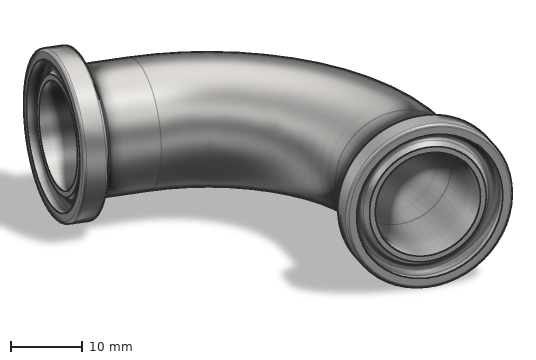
import cadquery as cq
import math


overall_length = 53.75
tube_diameter = 19.05
bore_diameter = 15.75
flange_diameter = 25.0
bend_radius = 28.6

rim_height = 3.65
cone_angle = math.radians(20)
edge_radius = 0.45

groove_outer_diameter = 21.9
groove_round_radius = 0.85
groove_wall_angle = math.radians(55)
land_diameter = 17.5
land_recess = 0.75

tube_radius = tube_diameter / 2
bore_radius = bore_diameter / 2
flange_radius = flange_diameter / 2
leg_length = overall_length - flange_radius - bend_radius
cone_top = rim_height + (flange_radius - tube_radius) * math.tan(cone_angle)


def ferrule_body():
    """Solid ferrule on the Y axis, face at Y = 0, tube end at Y = leg_length."""
    profile = (
        cq.Workplane("XY")
        .lineTo(flange_radius, 0)
        .lineTo(flange_radius, rim_height)
        .lineTo(tube_radius, cone_top)
        .lineTo(tube_radius, leg_length)
        .lineTo(0, leg_length)
        .close()
    )
    body = profile.revolve(360, (0, 0, 0), (0, 1, 0))
    flange_edges = cq.selectors.BoxSelector(
        (-flange_diameter, -edge_radius, -flange_diameter),
        (flange_diameter, cone_top + edge_radius, flange_diameter),
    )
    return body.edges(flange_edges).edges("%CIRCLE").fillet(edge_radius)


def gasket_groove():
    """Recess to be cut from the ferrule face: the land, its cone and the groove around it."""
    outer_radius = groove_outer_diameter / 2
    land_radius = land_diameter / 2
    round_centre = outer_radius - groove_round_radius
    tangent_radius = round_centre - groove_round_radius * math.sin(groove_wall_angle)
    tangent_depth = land_recess + (tangent_radius - land_radius) * math.tan(groove_wall_angle)
    centre_depth = tangent_depth - groove_round_radius * math.cos(groove_wall_angle)
    profile = (
        cq.Workplane("XY")
        .lineTo(0, land_recess)
        .lineTo(land_radius, land_recess)
        .lineTo(tangent_radius, tangent_depth)
        .threePointArc(
            (round_centre, centre_depth + groove_round_radius),
            (outer_radius, centre_depth),
        )
        .lineTo(outer_radius, 0)
        .close()
    )
    return profile.revolve(360, (0, 0, 0), (0, 1, 0))


def ferrule():
    bore = cq.Workplane("XZ").circle(bore_radius).extrude(-leg_length)
    return ferrule_body().cut(gasket_groove()).cut(bore)


def bend():
    """Quarter-turn tube from the -X side of the bend centre to its +Y side."""
    return (
        cq.Workplane("XZ")
        .center(-bend_radius, 0)
        .circle(tube_radius)
        .circle(bore_radius)
        .revolve(90, (bend_radius, 0, 0), (bend_radius, -1, 0))
    )


front_ferrule = ferrule().translate((-bend_radius, -leg_length, 0))
side_ferrule = (
    ferrule()
    .rotate((0, 0, 0), (0, 0, 1), 90)
    .translate((leg_length, bend_radius, 0))
)

result = bend().union(front_ferrule).union(side_ferrule)